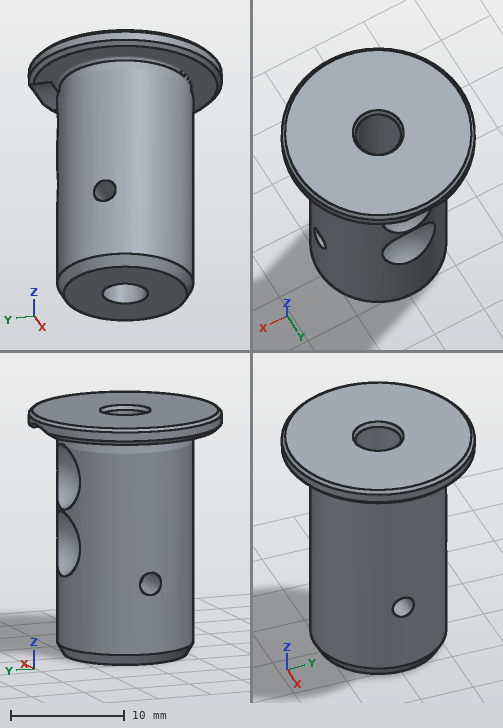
import cadquery as cq
import math

total_height = 21.8
head_diameter = 17.0
head_thickness = 1.5
head_top_chamfer = 0.3
head_bottom_chamfer = 0.4
shank_diameter = 12.0
tip_chamfer_height = 1.0
tip_chamfer_angle = math.radians(30)

groove_diameter = 11.6
groove_fillet = 0.3
groove_flat = 0.2
groove_run_out_angle = math.radians(15)

bore_diameter = 4.0
bore_mouth_depth = 0.4
bore_mouth_angle = math.radians(30)

pin_hole_diameter = 2.0
pin_hole_height = 7.3

ball_diameter = 6.0
ball_centre_y = 6.75
first_pocket_height = 10.25
pocket_pitch = 6.0
pocket_count = 2

clearance_diameter = 9.8


def turned_body():
    """Solid of revolution: head, relief groove, shank and tapered tip."""
    head_r = head_diameter / 2
    shank_r = shank_diameter / 2
    groove_r = groove_diameter / 2
    head_bottom = total_height - head_thickness
    tip_r = shank_r - tip_chamfer_height * math.tan(tip_chamfer_angle)
    fillet_bottom = head_bottom - groove_fillet
    groove_bottom = fillet_bottom - groove_flat
    run_out_bottom = groove_bottom - (shank_r - groove_r) / math.tan(groove_run_out_angle)
    arc_offset = groove_fillet * (1 - math.cos(math.radians(45)))
    profile = (
        cq.Workplane("XZ")
        .moveTo(0, 0)
        .lineTo(tip_r, 0)
        .lineTo(shank_r, tip_chamfer_height)
        .lineTo(shank_r, run_out_bottom)
        .lineTo(groove_r, groove_bottom)
        .lineTo(groove_r, fillet_bottom)
        .threePointArc(
            (groove_r + arc_offset, head_bottom - arc_offset),
            (groove_r + groove_fillet, head_bottom),
        )
        .lineTo(head_r - head_bottom_chamfer, head_bottom)
        .lineTo(head_r, head_bottom + head_bottom_chamfer)
        .lineTo(head_r, total_height - head_top_chamfer)
        .lineTo(head_r - head_top_chamfer, total_height)
        .lineTo(0, total_height)
        .close()
    )
    return profile.revolve(360, (0, 0, 0), (0, 1, 0))


def axial_bore():
    """Through bore with a countersunk mouth in the head."""
    bore_r = bore_diameter / 2
    mouth_r = bore_r + bore_mouth_depth * math.tan(bore_mouth_angle)
    profile = (
        cq.Workplane("XZ")
        .moveTo(0, 0)
        .lineTo(bore_r, 0)
        .lineTo(bore_r, total_height - bore_mouth_depth)
        .lineTo(mouth_r, total_height)
        .lineTo(0, total_height)
        .close()
    )
    return profile.revolve(360, (0, 0, 0), (0, 1, 0))


def pin_hole():
    """Straight hole across the whole shank along X."""
    return (
        cq.Workplane("YZ")
        .center(0, pin_hole_height)
        .circle(pin_hole_diameter / 2)
        .extrude(shank_diameter, both=True)
    )


def ball_pocket(height):
    """Spherical seat opening on the +Y side of the shank."""
    return cq.Workplane("XY").sphere(ball_diameter / 2).translate((0, ball_centre_y, height))


def head_clearance():
    """Cylinder along Y, outside the shank, that notches the head's lower edge."""
    upper_pocket_height = first_pocket_height + (pocket_count - 1) * pocket_pitch
    return (
        cq.Workplane("XZ", origin=(0, shank_diameter / 2, upper_pocket_height))
        .circle(clearance_diameter / 2)
        .extrude(-head_diameter / 2)
    )


result = turned_body().cut(axial_bore()).cut(pin_hole()).cut(head_clearance())
for index in range(pocket_count):
    result = result.cut(ball_pocket(first_pocket_height + index * pocket_pitch))